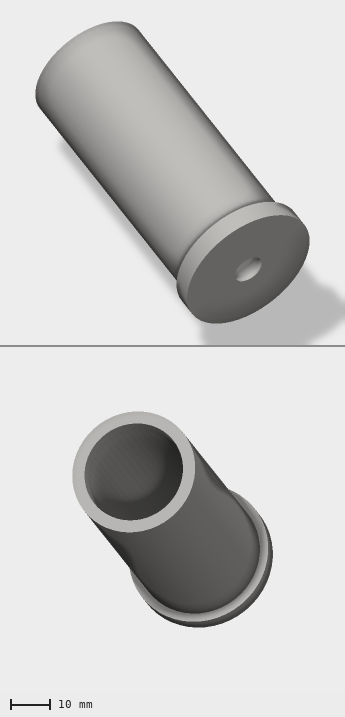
import cadquery as cq
import math

length = 77.0
flange_diameter = 36.0
flange_thickness = 5.15
tube_diameter = 31.7
shoulder_x = length - flange_thickness

bore_diameter = 25.4
pilot_diameter = 20.0
hole_diameter = 7.9
hole_length = 3.85
pilot_length = 1.55
drill_point_angle = 118.0


def cone_length(large_diameter, small_diameter):
    """Axial length of a drill-point cone between two diameters."""
    half_angle = math.radians(drill_point_angle / 2)
    return (large_diameter - small_diameter) / 2 / math.tan(half_angle)


pilot_cone_end = length - hole_length
pilot_end = pilot_cone_end - cone_length(pilot_diameter, hole_diameter)
pilot_start = pilot_end - pilot_length
bore_end = pilot_start - cone_length(bore_diameter, pilot_diameter)

half_section = (
    cq.Workplane("XY")
    .moveTo(0, bore_diameter / 2)
    .lineTo(0, tube_diameter / 2)
    .lineTo(shoulder_x, tube_diameter / 2)
    .lineTo(shoulder_x, flange_diameter / 2)
    .lineTo(length, flange_diameter / 2)
    .lineTo(length, hole_diameter / 2)
    .lineTo(pilot_cone_end, hole_diameter / 2)
    .lineTo(pilot_end, pilot_diameter / 2)
    .lineTo(pilot_start, pilot_diameter / 2)
    .lineTo(bore_end, bore_diameter / 2)
    .close()
)

result = half_section.revolve(360, (0, 0, 0), (1, 0, 0))